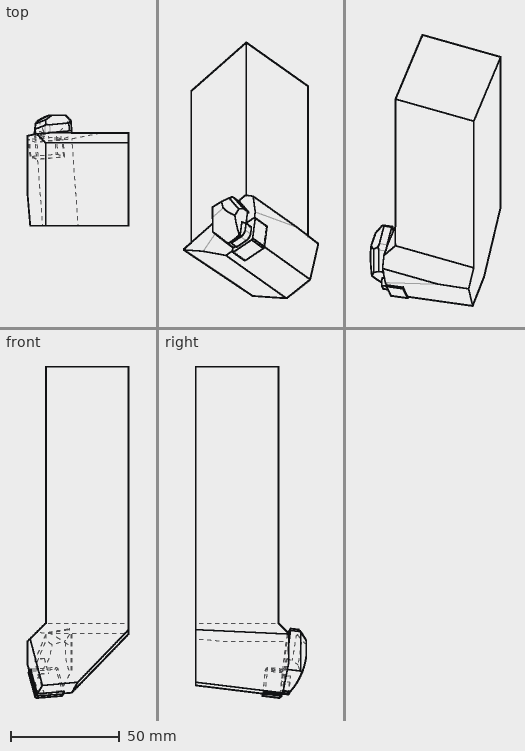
import cadquery as cq
import math


FAR = 200.0

SHANK = 38.1
OVERALL_HEIGHT = 152.4

HEAD_START = 34.5
HEAD_LEFT = 8.45
HEAD_BACK = 4.6
RELIEF_TOP = 31.5
RELIEF_ANGLE = 46.0
RELIEF_LEAN = 1.9

RAKE_SLOPE_X = 0.0764
RAKE_SLOPE_Z = 0.123
EDGE_SLOPE = 0.083
TIP = (-4.75, 38.5, -0.054)

INSERT_CORNER = 100.0
INSERT_EDGE = 12.9
INSERT_THICKNESS = 7.94
INSERT_CHAMFER = 0.6
SIDE_OVERHANG = 0.55
BOTTOM_OVERHANG = 1.1

BREAKER_INSET = 1.8
BREAKER_THICKNESS = 3.6
BREAKER_NOSE_RADIUS = 2.9
BREAKER_FLANK = 8.0
BREAKER_REACH = 10.0
BREAKER_STEPS = [(1.4, 1.4), (3.2, 3.2)]

CLAMP_SIDE_INSET = 4.8
CLAMP_BOTTOM_INSET = 2.6
CLAMP_SHOULDER = 18.2
CLAMP_TOP_LEFT = (7.9, 30.0)
CLAMP_TOP_RIGHT = (18.6, 30.9)
CLAMP_RIGHT_HIGH = (19.6, 29.9)
CLAMP_RIGHT_LOW = (18.0, 12.0)
CLAMP_BOTTOM_RIGHT = 12.0
CLAMP_CORNER_RADIUS = 3.0
CLAMP_HEIGHT = 9.5

CLAMP_WALL = 3.7
SIDE_BEVEL_ANGLE = 66.0
TOP_BEVEL_ANGLE = 45.0
CROWN_WALL = 5.7
CROWN_ANGLE = 33.0

CREST_TOP = (51.1, 25.5)
CREST_MIDDLE = (49.65, 13.65)
CREST_NOSE = (43.3, 2.7)
CROWN_Y = 50.91
CROWN_RIGHT = 9.0
CROWN_BEVEL = 4.0

GAP_START = 11.0
GAP_WIDTH = 4.0
GAP_HEIGHT = 0.9

seat = cq.Plane(
    origin=TIP,
    xDir=(1, RAKE_SLOPE_X + RAKE_SLOPE_Z * EDGE_SLOPE, EDGE_SLOPE),
    normal=(RAKE_SLOPE_X, -1, RAKE_SLOPE_Z),
)
corner = math.radians(INSERT_CORNER)


def seat_point(side_inset, height):
    """Point of the seat at a distance from the side edge and a height over the bottom edge."""
    return ((side_inset + height * math.cos(corner)) / math.sin(corner), height)


def make_blank():
    """Shank and head before the flanks and the rake plane are cut."""
    depth = SHANK + HEAD_BACK
    shank = cq.Workplane("XY").box(SHANK, SHANK, OVERALL_HEIGHT, centered=False)
    head = (
        cq.Workplane("XZ")
        .polyline([
            (0, HEAD_START), (-HEAD_LEFT, HEAD_START - HEAD_LEFT), (-HEAD_LEFT, 0),
            (SHANK, 0), (SHANK, HEAD_START),
        ])
        .close()
        .extrude(-depth)
    )
    back_slope = (
        cq.Workplane("YZ")
        .polyline([(SHANK, HEAD_START), (depth, HEAD_START - HEAD_BACK), (depth, HEAD_START)])
        .close()
        .extrude(SHANK + HEAD_LEFT, both=True)
    )
    return shank.union(head.cut(back_slope))


def make_relief():
    """Half-space below the slope on the lower right of the head."""
    angle = math.radians(RELIEF_ANGLE)
    lean = math.radians(RELIEF_LEAN)
    along = (math.cos(angle), 0, math.sin(angle))
    below = (
        math.sin(angle) * math.cos(lean), -math.sin(lean), -math.cos(angle) * math.cos(lean)
    )
    plane = cq.Plane(origin=(SHANK, 0, RELIEF_TOP), xDir=along, normal=below)
    return cq.Workplane(plane).rect(FAR, FAR).extrude(FAR)


def make_flanks():
    """Everything behind the rake plane and inside the two flanks under the insert edges."""
    return (
        cq.Workplane(seat)
        .polyline([
            seat_point(SIDE_OVERHANG, BOTTOM_OVERHANG), (FAR, BOTTOM_OVERHANG),
            (FAR, FAR), seat_point(SIDE_OVERHANG, FAR),
        ])
        .close()
        .extrude(FAR)
    )


def make_shank_and_head():
    """Shank with the head trimmed to its flanks, rake plane and relief."""
    below = cq.Workplane("XY").box(FAR, FAR, HEAD_START, centered=(True, True, False))
    head = make_blank().intersect(below).intersect(make_flanks()).cut(make_relief())
    return make_blank().cut(below).union(head)


def seat_edge(point, depth):
    """Selector for the edge whose middle lies nearest to a seat point at a given depth."""
    return cq.selectors.NearestToPointSelector(seat.toWorldCoords((*point, depth)).toTuple())


def make_breaker():
    """Chipbreaker plate with a rounded nose."""
    nose = seat_point(BREAKER_INSET, BREAKER_INSET)
    flank_x, flank_y = seat_point(BREAKER_INSET, BREAKER_FLANK)
    steps = [(flank_x + across, flank_y + up) for across, up in BREAKER_STEPS]
    outline = [nose, (flank_x, flank_y), *steps]
    outline += [(BREAKER_REACH, steps[-1][1]), (BREAKER_REACH, BREAKER_INSET)]
    return (
        cq.Workplane(seat)
        .polyline(outline)
        .close()
        .extrude(-BREAKER_THICKNESS)
        .edges(seat_edge(nose, -BREAKER_THICKNESS / 2))
        .fillet(BREAKER_NOSE_RADIUS)
    )


def make_bevel(start, end, wall, angle):
    """Space over a bevel along one side of the clamp, rising inwards from the top of a wall."""
    along = (seat.xDir * (end[0] - start[0]) + seat.yDir * (end[1] - start[1])).normalized()
    outwards = seat.zDir.cross(along)
    rise = math.radians(angle)
    plane = cq.Plane(
        origin=seat.toWorldCoords((*start, -wall)),
        xDir=along,
        normal=outwards * math.sin(rise) - seat.zDir * math.cos(rise),
    )
    return cq.Workplane(plane).rect(FAR, FAR).extrude(FAR)


def make_crest():
    """Space under the curved back of the clamp, along X."""
    return (
        cq.Workplane("YZ")
        .moveTo(SHANK, CREST_NOSE[1])
        .lineTo(*CREST_NOSE)
        .threePointArc(CREST_MIDDLE, CREST_TOP)
        .lineTo(CREST_TOP[0], HEAD_START)
        .lineTo(SHANK, HEAD_START)
        .close()
        .extrude(SHANK, both=True)
    )


def make_crown():
    """Space under the flat top of the clamp and the bevel on its right, along Z."""
    return (
        cq.Workplane("XY")
        .polyline([
            (-HEAD_LEFT, SHANK), (-HEAD_LEFT, CROWN_Y), (CROWN_RIGHT, CROWN_Y),
            (CROWN_RIGHT + CROWN_BEVEL, CROWN_Y - CROWN_BEVEL), (CROWN_RIGHT + CROWN_BEVEL, SHANK),
        ])
        .close()
        .extrude(HEAD_START)
    )


def make_gap():
    """Gap under the clamp along its left flank."""
    return (
        cq.Workplane(seat)
        .polyline([
            seat_point(CLAMP_SIDE_INSET, GAP_START), seat_point(CLAMP_SIDE_INSET, CLAMP_SHOULDER),
            seat_point(CLAMP_SIDE_INSET + GAP_WIDTH, CLAMP_SHOULDER),
            seat_point(CLAMP_SIDE_INSET + GAP_WIDTH, GAP_START),
        ])
        .close()
        .extrude(-GAP_HEIGHT)
    )


def make_clamp():
    """Clamp with bevelled left and top sides under its curved back."""
    shoulder = seat_point(CLAMP_SIDE_INSET, CLAMP_SHOULDER)
    body = (
        cq.Workplane(seat)
        .polyline([
            seat_point(CLAMP_SIDE_INSET, CLAMP_BOTTOM_INSET), shoulder, CLAMP_TOP_LEFT,
            CLAMP_TOP_RIGHT, CLAMP_RIGHT_HIGH, CLAMP_RIGHT_LOW,
            (CLAMP_BOTTOM_RIGHT, CLAMP_BOTTOM_INSET),
        ])
        .close()
        .extrude(-CLAMP_HEIGHT)
        .edges(seat_edge(CLAMP_TOP_LEFT, -CLAMP_HEIGHT / 2))
        .fillet(CLAMP_CORNER_RADIUS)
    )
    for start, end, wall, angle in [
        (shoulder, CLAMP_TOP_LEFT, CLAMP_WALL, SIDE_BEVEL_ANGLE),
        (shoulder, CLAMP_TOP_LEFT, CROWN_WALL, CROWN_ANGLE),
        (CLAMP_TOP_LEFT, CLAMP_TOP_RIGHT, CLAMP_WALL, TOP_BEVEL_ANGLE),
    ]:
        body = body.cut(make_bevel(start, end, wall, angle))
    return body.intersect(make_crest()).intersect(make_crown()).cut(make_gap())


def make_insert():
    """Rhombic insert with chamfered corners."""
    lean_x = INSERT_EDGE * math.cos(corner)
    height = INSERT_EDGE * math.sin(corner)
    return (
        cq.Workplane(seat)
        .polyline([(0, 0), (INSERT_EDGE, 0), (INSERT_EDGE + lean_x, height), (lean_x, height)])
        .close()
        .extrude(INSERT_THICKNESS)
        .edges(cq.selectors.ParallelDirSelector(seat.zDir))
        .chamfer(INSERT_CHAMFER)
    )


insert = make_insert()
holder = make_shank_and_head().cut(insert).union(make_clamp()).union(make_breaker())
result = cq.Compound.makeCompound([holder.val(), insert.val()])